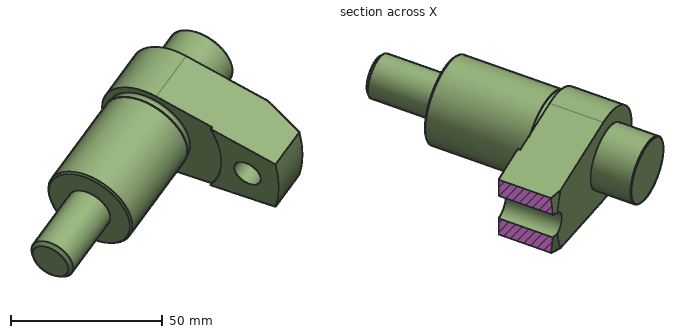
import cadquery as cq
import math


total_length = 101.0
boss_length = 15.0
arm_thickness = 20.0
groove_width = 2.4
body_length = 37.5

boss_radius = 24.0 / 2
hub_radius = 36.0 / 2
body_radius = 32.0 / 2
stud_radius = 16.0 / 2
groove_edge_radius = 15.7
groove_floor_radius = 15.2
boss_chamfer = 0.3
body_chamfer = 0.6
stud_chamfer = 1.2

arm_reach = 67.9 - hub_radius
side_angle = math.radians(8.3)
bevel_start_radius = 36.4
bevel_drop = 4.9
pad_inner_radius = 28.0
pad_height = 0.9
pin_hole_diameter = 10.1
pin_hole_offset = 38.0

boss_end = boss_length
arm_front = -arm_thickness
body_back = arm_front - groove_width
body_front = body_back - body_length
stud_end = boss_end - total_length
pad_front = arm_front - pad_height


def revolve_about_shaft(profile):
    """Turn a closed (radius, Y) profile into a solid about the Y axis."""
    return profile.close().revolve(360, (0, 0, 0), (0, 1, 0))


def make_shaft():
    """Boss, hub, grooved body and stud as one turned piece."""
    profile = (
        cq.Workplane("XY")
        .moveTo(0, boss_end)
        .lineTo(boss_radius - boss_chamfer, boss_end)
        .lineTo(boss_radius, boss_end - boss_chamfer)
        .lineTo(boss_radius, 0)
        .lineTo(hub_radius, 0)
        .lineTo(hub_radius, arm_front)
        .lineTo(groove_edge_radius, arm_front)
        .threePointArc(
            (groove_floor_radius, (arm_front + body_back) / 2),
            (groove_edge_radius, body_back),
        )
        .lineTo(body_radius, body_back)
        .lineTo(body_radius, body_front + body_chamfer)
        .lineTo(body_radius - body_chamfer, body_front)
        .lineTo(stud_radius, body_front)
        .lineTo(stud_radius, stud_end + stud_chamfer)
        .lineTo(stud_radius - stud_chamfer, stud_end)
        .lineTo(0, stud_end)
    )
    return revolve_about_shaft(profile)


def make_tapered_block():
    """Block whose sides are tangent to the hub and converge along +X."""
    tangent_x = hub_radius * math.sin(side_angle)
    tangent_z = hub_radius * math.cos(side_angle)
    end_z = tangent_z - (arm_reach - tangent_x) * math.tan(side_angle)
    outline = [
        (0, 0),
        (tangent_x, tangent_z),
        (arm_reach, end_z),
        (arm_reach, -end_z),
        (tangent_x, -tangent_z),
    ]
    return (
        cq.Workplane("XZ")
        .polyline(outline)
        .close()
        .extrude(-pad_front)
    )


def make_arm():
    """Tapered arm with a round end, conical back bevel, raised front pad and pin hole."""
    profile = (
        cq.Workplane("XY")
        .moveTo(0, 0)
        .lineTo(bevel_start_radius, 0)
        .lineTo(arm_reach, -bevel_drop)
        .lineTo(arm_reach, pad_front)
        .lineTo(pad_inner_radius, pad_front)
        .lineTo(pad_inner_radius, arm_front)
        .lineTo(0, arm_front)
    )
    arm = revolve_about_shaft(profile).intersect(make_tapered_block())
    pin_hole = (
        cq.Workplane("XZ")
        .center(pin_hole_offset, 0)
        .circle(pin_hole_diameter / 2)
        .extrude(-pad_front)
    )
    return arm.cut(pin_hole)


result = make_shaft().union(make_arm())